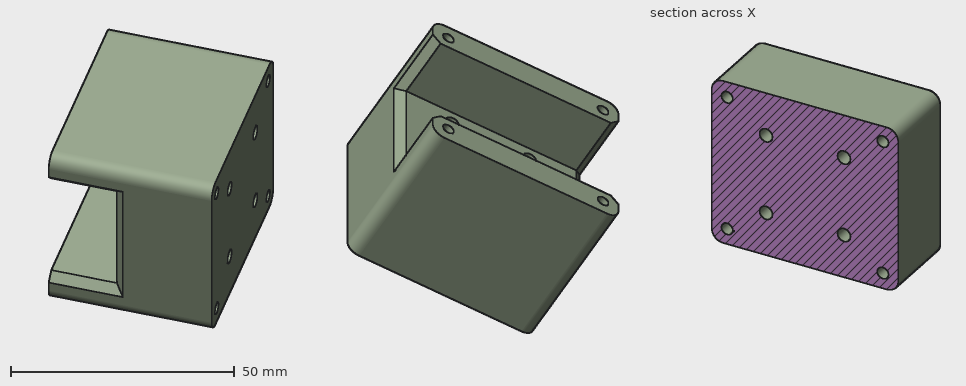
import cadquery as cq

length_x = 38.0
width_y = 48.0
height_z = 42.0
corner_radius = 3.0

channel_depth = 15.3
channel_height = 27.1
channel_chamfer = 2.0

corner_hole_diameter = 2.8
corner_hole_spacing_y = 40.0
corner_hole_spacing_z = 34.0
floor_hole_diameter = 3.2
floor_hole_spacing = 20.0


def make_block():
    """Block centred on the origin with its four edges along X rounded."""
    return cq.Workplane("XY").box(length_x, width_y, height_z).edges("|X").fillet(corner_radius)


def channel_section(y, growth):
    """Channel outline at one Y station, enlarged by growth in depth and on both sides in height."""
    front_x = -length_x / 2
    floor_x = front_x + channel_depth + growth
    half_height = channel_height / 2 + growth
    return cq.Wire.makePolygon(
        [
            cq.Vector(front_x, y, -half_height),
            cq.Vector(floor_x, y, -half_height),
            cq.Vector(floor_x, y, half_height),
            cq.Vector(front_x, y, half_height),
        ],
        close=True,
    )


def make_channel():
    """Straight channel that flares outward at each end by the chamfer."""
    half_width = width_y / 2
    channel = cq.Workplane("XY").box(channel_depth, width_y, channel_height)
    channel = channel.translate(((channel_depth - length_x) / 2, 0, 0))
    for side in (-1, 1):
        inner = channel_section(side * (half_width - channel_chamfer), 0)
        outer = channel_section(side * half_width, channel_chamfer)
        channel = channel.union(cq.Workplane(cq.Solid.makeLoft([inner, outer], True)))
    return channel


def make_through_holes(diameter, spacing_y, spacing_z):
    """Four cylinders along X in a rectangular pattern, as long as the block."""
    return (
        cq.Workplane("YZ", origin=(-length_x / 2, 0, 0))
        .rarray(spacing_y, spacing_z, 2, 2)
        .circle(diameter / 2)
        .extrude(length_x)
    )


result = (
    make_block()
    .cut(make_channel())
    .cut(make_through_holes(corner_hole_diameter, corner_hole_spacing_y, corner_hole_spacing_z))
    .cut(make_through_holes(floor_hole_diameter, floor_hole_spacing, floor_hole_spacing))
)